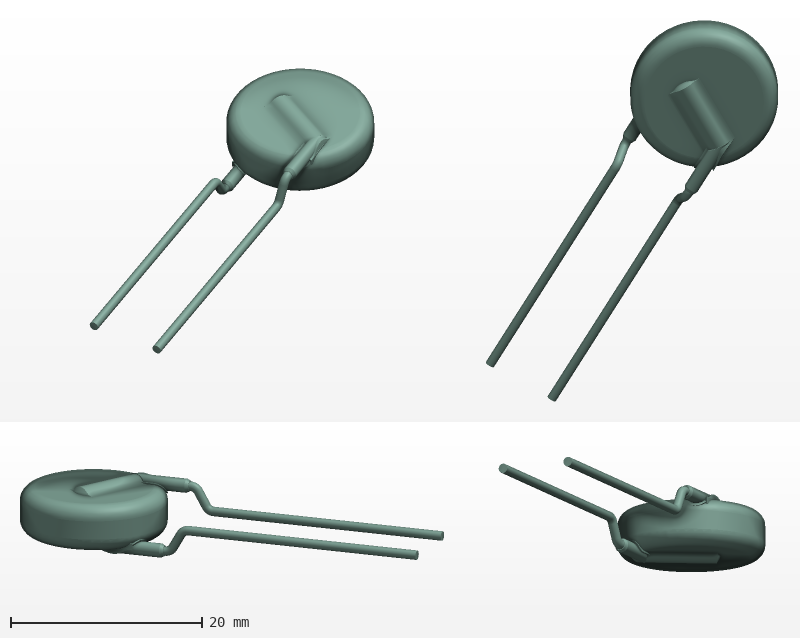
import cadquery as cq
import math

disc_radius = 7.75
disc_half_height = 2.5
disc_edge_round = 1.5

lead_offset = 3.75
wire_radius = 0.5
bend_radius = 1.0
bend_angle = math.radians(60)
lead_tip_y = disc_radius - 45.25
bend_start_y = -9.4

sleeve_radius = 0.745
sleeve_end_y = -9.32
sleeve_end_chamfer = (0.35, 0.2)
mitre_slope = math.radians(55)

ridge_height = 0.7
ridge_half_width = 1.9
ridge_root_depth = 0.7
ridge_length = 7.5
ridge_overrun = 3.6
ridge_angle = 150
ridge_end_run = 0.4
corner_y = -3.35

collar_radius = 1.0
collar_thickness = 0.16
ridge_side_bevel = 0.23


def make_disc(growth=0):
    """Disc with rounded rims, optionally grown outward all round."""
    half_height = disc_half_height + growth
    return (
        cq.Workplane("XY", origin=(0, 0, -half_height))
        .circle(disc_radius + growth)
        .extrude(2 * half_height)
        .edges()
        .fillet(disc_edge_round + growth)
    )


def cylinder_along_lead(radius, start_y, end_y):
    """Cylinder on the upper lead's axis, running toward -Y."""
    return (
        cq.Workplane("XZ", origin=(lead_offset, start_y, disc_half_height))
        .circle(radius)
        .extrude(start_y - end_y)
    )


def make_wire():
    """Round wire that steps from the disc face down to the middle plane."""
    bend_run = bend_radius * math.sin(bend_angle)
    bend_drop = bend_radius * (1 - math.cos(bend_angle))
    slope_drop = disc_half_height - 2 * bend_drop
    slope_run = slope_drop / math.tan(bend_angle)
    half_run = bend_radius * math.sin(bend_angle / 2)
    half_drop = bend_radius * (1 - math.cos(bend_angle / 2))

    slope_start_y = bend_start_y - bend_run
    slope_end_y = slope_start_y - slope_run
    bend_end_y = slope_end_y - bend_run
    path = (
        cq.Workplane("YZ", origin=(lead_offset, 0, 0))
        .moveTo(corner_y, disc_half_height)
        .lineTo(bend_start_y, disc_half_height)
        .threePointArc(
            (bend_start_y - half_run, disc_half_height - half_drop),
            (slope_start_y, disc_half_height - bend_drop),
        )
        .lineTo(slope_end_y, bend_drop)
        .threePointArc((bend_end_y + half_run, half_drop), (bend_end_y, 0))
        .lineTo(lead_tip_y, 0)
    )
    return (
        cq.Workplane("XZ", origin=(lead_offset, corner_y, disc_half_height))
        .circle(wire_radius)
        .sweep(path)
    )


def make_sleeve():
    """Sleeve with a tapered free end and a mitred start on the ridge."""
    reach = 2 * sleeve_radius
    sleeve = cylinder_along_lead(sleeve_radius, corner_y + reach, sleeve_end_y)
    sleeve = sleeve.faces("<Y").chamfer(*sleeve_end_chamfer)
    mitre_rise = reach * math.tan(mitre_slope)
    beyond_mitre = (
        cq.Workplane("XY")
        .polyline([
            (lead_offset - reach, corner_y - mitre_rise),
            (lead_offset + reach, corner_y + mitre_rise),
            (lead_offset - reach, corner_y + mitre_rise),
        ])
        .close()
        .extrude(2 * disc_half_height)
    )
    return sleeve.cut(beyond_mitre)


def make_ridge():
    """Ridge with a rounded crest that flares tangentially into the disc face."""
    half_crest = ridge_half_width / 2
    arc_radius = (half_crest**2 + (ridge_height / 2) ** 2) / ridge_height
    flank_angle = math.asin(half_crest / arc_radius)
    half_run = arc_radius * math.sin(flank_angle / 2)
    half_drop = arc_radius * (1 - math.cos(flank_angle / 2))
    profile = (
        cq.Workplane("YZ", origin=(-ridge_overrun, 0, 0))
        .moveTo(-ridge_half_width, -ridge_root_depth)
        .lineTo(-ridge_half_width, 0)
        .threePointArc((half_run - ridge_half_width, half_drop), (-half_crest, ridge_height / 2))
        .threePointArc((0, ridge_height), (half_crest, ridge_height / 2))
        .threePointArc((ridge_half_width - half_run, half_drop), (ridge_half_width, 0))
        .lineTo(ridge_half_width, -ridge_root_depth)
        .close()
        .val()
    )
    body = cq.Solid.extrudeLinear(profile, [], cq.Vector(ridge_overrun + ridge_length, 0, 0))
    end_profile = profile.translate(cq.Vector(ridge_overrun + ridge_length, 0, 0))
    end_slope = cq.Solid.extrudeLinear(end_profile, [], cq.Vector(ridge_end_run, 0, -ridge_height))
    ridge = (
        cq.Workplane(body)
        .union(cq.Workplane(end_slope))
        .rotate((0, 0, 0), (0, 0, 1), ridge_angle)
        .translate((lead_offset, corner_y, disc_half_height))
    )
    side_x = lead_offset + collar_radius
    crest_z = disc_half_height + ridge_height
    envelope = (
        cq.Workplane("XZ")
        .polyline([
            (-disc_radius, 0),
            (side_x, 0),
            (side_x, disc_half_height),
            (side_x - ridge_side_bevel, crest_z),
            (-disc_radius, crest_z),
        ])
        .close()
        .extrude(disc_radius, both=True)
    )
    return ridge.intersect(envelope).intersect(make_disc(ridge_height))


def make_collar():
    """Thin skin of coating beside the sleeve, following the rounded rim."""
    strip = cylinder_along_lead(collar_radius, corner_y, -disc_radius)
    return strip.intersect(make_disc(collar_thickness))


upper_side = make_ridge().union(make_collar()).union(make_sleeve()).union(make_wire())
lower_side = upper_side.rotate((0, 0, 0), (0, 1, 0), 180)

result = make_disc().union(upper_side).union(lower_side)